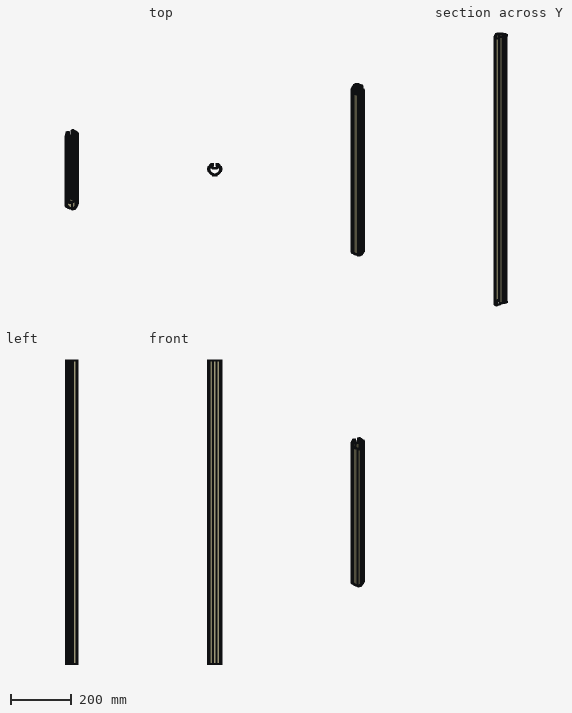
import cadquery as cq
import math

LENGTH = 1000.0
WIDTH = 43.0
DEPTH = 39.0
CROWN_Y = DEPTH / 2

TUBE_RADIUS = 19.0
TUBE_WALL = 0.9
TUBE_CENTRE_Y = 2.17

RIB_EDGE_WIDTH = 13.16
RIB_ROOT_WIDTH = 12.1
RIB_CROWNING = 1.53
RIB_ROOT_SINK = 1.1
SIDE_RIB_TIP = WIDTH / 2
BACK_RIB_TIP = CROWN_Y + TUBE_CENTRE_Y

NOTCH_DEPTH = 0.8
NOTCH_WIDTH = 1.0

CROWN_WIDTH = 22.8
CROWN_ROOT_Y = 12.0
LIP_THICKNESS = 5.5
SLOT_WIDTH = 10.2
CHANNEL_FLOOR_Y = 5.4
CHANNEL_FLOOR_WIDTH = 13.2
CHANNEL_TOP_WIDTH = 27.4
CHANNEL_FLOOR_WALL = 1.1
CHANNEL_BASE_WIDTH = 12.8
CHANNEL_FLANK_ANGLE = 45.0


def tube_cylinder(radius):
    return cq.Workplane("XY").center(0, TUBE_CENTRE_Y).circle(radius).extrude(LENGTH)


def trapezoid_bar(bottom_y, bottom_width, top_y, top_width):
    corners = [
        (-bottom_width / 2, bottom_y),
        (bottom_width / 2, bottom_y),
        (top_width / 2, top_y),
        (-top_width / 2, top_y),
    ]
    return cq.Workplane("XY").polyline(corners).close().extrude(LENGTH)


def place_around_tube(bar, angle):
    """Turns a bar drawn along +X about the origin and moves it to the tube axis."""
    return bar.rotate((0, 0, 0), (0, 0, 1), angle).translate((0, TUBE_CENTRE_Y, 0))


def rib(tip, angle):
    root = TUBE_RADIUS - RIB_ROOT_SINK
    edge = tip - RIB_CROWNING
    bar = (
        cq.Workplane("XY")
        .moveTo(root, -RIB_ROOT_WIDTH / 2)
        .lineTo(edge, -RIB_EDGE_WIDTH / 2)
        .threePointArc((tip, 0), (edge, RIB_EDGE_WIDTH / 2))
        .lineTo(root, RIB_ROOT_WIDTH / 2)
        .close()
        .extrude(LENGTH)
    )
    return place_around_tube(bar, angle)


def notch(angle):
    """A V cutter twice as tall as the groove, so that it runs out clear of the rib tip."""
    bottom = SIDE_RIB_TIP - NOTCH_DEPTH
    outside = SIDE_RIB_TIP + NOTCH_DEPTH
    corners = [(bottom, 0), (outside, -NOTCH_WIDTH), (outside, NOTCH_WIDTH)]
    bar = cq.Workplane("XY").polyline(corners).close().extrude(LENGTH)
    return place_around_tube(bar, angle)


def outer_body():
    body = tube_cylinder(TUBE_RADIUS).intersect(trapezoid_bar(-CROWN_Y, WIDTH, CROWN_Y, WIDTH))
    body = body.union(trapezoid_bar(CROWN_ROOT_Y, CROWN_WIDTH, CROWN_Y, CROWN_WIDTH))
    body = body.union(rib(BACK_RIB_TIP, -90))
    for angle in (0, 180):
        body = body.union(rib(SIDE_RIB_TIP, angle)).cut(notch(angle))
    return body


def hollow():
    """The bore of the tube, less the walls that hold the channel."""
    base_y = CHANNEL_FLOOR_Y - CHANNEL_FLOOR_WALL
    flank_run = (CROWN_Y - base_y) / math.tan(math.radians(CHANNEL_FLANK_ANGLE))
    holder = trapezoid_bar(base_y, CHANNEL_BASE_WIDTH, CROWN_Y, CHANNEL_BASE_WIDTH + 2 * flank_run)
    bore = tube_cylinder(TUBE_RADIUS - TUBE_WALL)
    return bore.cut(holder).intersect(trapezoid_bar(-CROWN_Y, WIDTH, CROWN_Y, WIDTH))


def channel():
    lip_y = CROWN_Y - LIP_THICKNESS
    cavity = trapezoid_bar(CHANNEL_FLOOR_Y, CHANNEL_FLOOR_WIDTH, lip_y, CHANNEL_TOP_WIDTH)
    slot = trapezoid_bar(CHANNEL_FLOOR_Y, SLOT_WIDTH, CROWN_Y, SLOT_WIDTH)
    return cavity.union(slot)


result = outer_body().cut(hollow()).cut(channel())